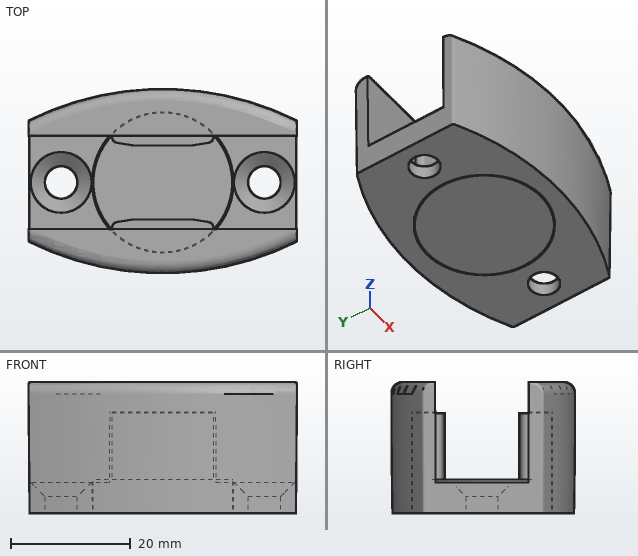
import cadquery as cq
import math

LENGTH = 45.0
HEIGHT = 22.0
HALF_CROWN = 15.45
SIDE_RADIUS = 50.0
DRAFT = 0.5
RIM_FILLET = 2.0
END_FILLET = 0.5

CHANNEL_Y = -0.22
CHANNEL_WIDTH = 15.65
FLOOR_Z = 5.17
CHANNEL_DRAFT = 0.25

HOLE_DIAMETER = 5.4
SINK_DIAMETER = 10.15
SINK_ANGLE = 90.0
HOLE_X = 17.0

BORE_DIAMETER = 23.6
INSERT_DIAMETER = 23.3
INSERT_HEIGHT = 16.8
BORE_HEAD_GAP = 0.2
GUIDE_FLOOR_Z = 5.65
GUIDE_HALF_WIDTH = 6.2
GUIDE_HALF_FLAT = 5.05
FLARE_ANGLE = 9.0
CHEEK_FILLET = 1.0


def make_blank():
    """Bowed block that narrows downward, with its rim and ends rounded."""
    lean = math.tan(math.radians(DRAFT))
    half_length = LENGTH / 2 + lean * END_FILLET
    crown = HALF_CROWN + lean * RIM_FILLET
    corner = crown - SIDE_RADIUS + math.sqrt(SIDE_RADIUS**2 - half_length**2)
    blank = (
        cq.Workplane("XY", origin=(0, 0, HEIGHT))
        .moveTo(-half_length, -corner)
        .threePointArc((0, -crown), (half_length, -corner))
        .lineTo(half_length, corner)
        .threePointArc((0, crown), (-half_length, corner))
        .close()
        .extrude(-HEIGHT, taper=DRAFT)
    )
    blank = blank.faces(">Z").edges("%CIRCLE").fillet(RIM_FILLET)
    return blank.faces("<X or >X").edges("not <Z").fillet(END_FILLET)


def make_channel():
    """Open channel whose walls lean apart going up."""
    half_top = CHANNEL_WIDTH / 2
    half_floor = half_top - math.tan(math.radians(CHANNEL_DRAFT)) * (HEIGHT - FLOOR_Z)
    return (
        cq.Workplane("YZ")
        .polyline([
            (CHANNEL_Y - half_floor, FLOOR_Z),
            (CHANNEL_Y + half_floor, FLOOR_Z),
            (CHANNEL_Y + half_top, HEIGHT),
            (CHANNEL_Y - half_top, HEIGHT),
        ])
        .close()
        .extrude(LENGTH, both=True)
    )


def make_housing():
    """Channel block with a round bore from below and two countersunk holes."""
    bore = (
        cq.Workplane("XY")
        .center(0, CHANNEL_Y)
        .circle(BORE_DIAMETER / 2)
        .extrude(INSERT_HEIGHT + BORE_HEAD_GAP)
    )
    housing = make_blank().cut(make_channel()).cut(bore)
    return (
        housing.copyWorkplane(cq.Workplane("XY", origin=(0, CHANNEL_Y, FLOOR_Z)))
        .pushPoints([(-HOLE_X, 0), (HOLE_X, 0)])
        .cskHole(HOLE_DIAMETER, SINK_DIAMETER, SINK_ANGLE)
    )


def make_insert():
    """Round plug with a guide slot, flared at both mouths, between two cheeks."""
    radius = INSERT_DIAMETER / 2
    mouth = GUIDE_HALF_WIDTH + math.tan(math.radians(FLARE_ANGLE)) * (radius - GUIDE_HALF_FLAT)
    guide = (
        cq.Workplane("XY", origin=(0, 0, GUIDE_FLOOR_Z))
        .polyline([
            (-radius, -mouth),
            (-GUIDE_HALF_FLAT, -GUIDE_HALF_WIDTH),
            (GUIDE_HALF_FLAT, -GUIDE_HALF_WIDTH),
            (radius, -mouth),
            (radius, mouth),
            (GUIDE_HALF_FLAT, GUIDE_HALF_WIDTH),
            (-GUIDE_HALF_FLAT, GUIDE_HALF_WIDTH),
            (-radius, mouth),
        ])
        .close()
        .extrude(INSERT_HEIGHT - GUIDE_FLOOR_Z)
    )
    insert = cq.Workplane("XY").circle(radius).extrude(INSERT_HEIGHT).cut(guide)
    past_flats = GUIDE_HALF_FLAT + CHEEK_FILLET
    cheek_ends = [
        edge
        for edge in insert.edges("|Z").vals()
        if edge.Center().z > GUIDE_FLOOR_Z and abs(edge.Center().x) > past_flats
    ]
    return insert.newObject(cheek_ends).fillet(CHEEK_FILLET)


housing = make_housing()
insert = make_insert().translate((0, CHANNEL_Y, 0))

result = cq.Compound.makeCompound([housing.val(), insert.val()])